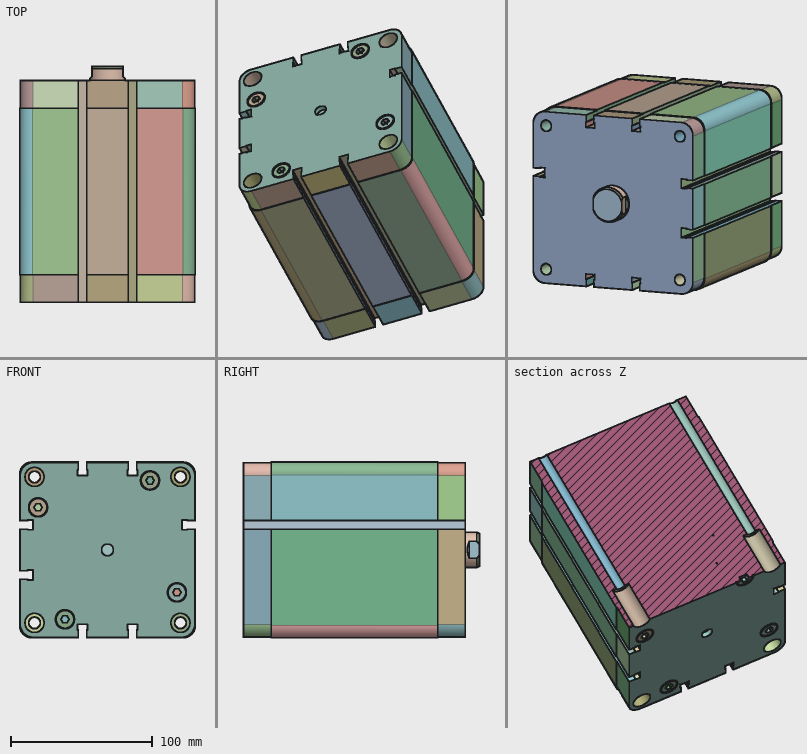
import cadquery as cq
import math

total_length = 166.5
tube_side = 124.0
cap_side = 123.0
corner_radius = 9.0
cap_length = 19.5

rod_diameter = 25.0
rod_projection = 10.0
rod_chamfer_length = 1.8
rod_chamfer_depth = 1.0
flat_width = 22.0
flat_length = 7.2

slot_offset = 17.6
slot_opening = 5.8
slot_head_width = 6.8
slot_neck_depth = 5.7
slot_depth = 9.5

corner_hole_offset = 51.5
corner_hole_diameter = 8.0
corner_bore_diameter = 13.5
corner_bore_depth = 33.3

screw_offset_far = 49.0
screw_offset_near = 30.0
screw_bore_diameter = 13.5
screw_head_diameter = 12.5
screw_gap_depth = 0.8
socket_width = 5.0
socket_depth = 3.3

center_hole_diameter = 8.3
center_hole_depth = 4.0

front_y = 0.0
body_length = total_length - rod_projection
tube_length = body_length - 2 * cap_length


def plane_at(y):
    """Workplane at Y = y facing +Y, with local x = -X and local y = Z."""
    return cq.Workplane(cq.Plane(origin=(0, y, 0), xDir=(-1, 0, 0), normal=(0, 1, 0)))


def rounded_block(side, y, length):
    block = plane_at(y).rect(side, side).extrude(length)
    return block.edges("|Y").fillet(corner_radius)


def front_points(points):
    """Workplane on the front face holding the given (X, Z) points."""
    return plane_at(front_y).pushPoints([(-x, z) for x, z in points])


def cylinders(points, diameter, depth):
    return front_points(points).circle(diameter / 2).extrude(depth)


def body():
    tube = rounded_block(tube_side, cap_length, tube_length)
    front_cap = rounded_block(cap_side, front_y, cap_length)
    rear_cap = rounded_block(cap_side, body_length - cap_length, cap_length)
    return tube.union(front_cap).union(rear_cap)


def rod():
    radius = rod_diameter / 2
    flat_depth = radius - flat_width / 2
    flat_end = total_length - flat_length
    start = body_length - cap_length
    shaft = (
        cq.Workplane("XY")
        .moveTo(0, start)
        .lineTo(radius, start)
        .lineTo(radius, total_length - rod_chamfer_length)
        .lineTo(radius - rod_chamfer_depth, total_length)
        .lineTo(0, total_length)
        .close()
        .revolve(360, (0, 0, 0), (0, 1, 0))
    )
    envelope = (
        cq.Workplane("XY")
        .moveTo(-radius, start)
        .lineTo(radius, start)
        .lineTo(radius, flat_end - flat_depth)
        .lineTo(flat_width / 2, flat_end)
        .lineTo(flat_width / 2, total_length)
        .lineTo(-flat_width / 2, total_length)
        .lineTo(-flat_width / 2, flat_end)
        .lineTo(-radius, flat_end - flat_depth)
        .close()
        .extrude(radius, both=True)
    )
    return shaft.intersect(envelope)


def slot(offset, angle):
    """Slot in the top face at X = offset, turned about Y by angle."""
    top = tube_side / 2
    neck = (
        cq.Workplane("XY")
        .box(slot_opening, body_length, slot_depth, centered=(True, False, False))
        .translate((offset, front_y, top - slot_depth))
    )
    head = (
        cq.Workplane("XY")
        .box(slot_head_width, body_length, slot_depth - slot_neck_depth, centered=(True, False, False))
        .translate((offset, front_y, top - slot_depth))
    )
    return neck.union(head).rotate((0, 0, 0), (0, 1, 0), angle)


def cut_slots(part):
    for offset in (-slot_offset, slot_offset):
        for angle in (0, 180, -90):
            part = part.cut(slot(offset, angle))
    return part.cut(slot(-slot_offset, 90))


def cut_corner_holes(part):
    signs = (-1, 1)
    corners = [(i * corner_hole_offset, j * corner_hole_offset) for i in signs for j in signs]
    part = part.cut(cylinders(corners, corner_hole_diameter, body_length))
    return part.cut(cylinders(corners, corner_bore_diameter, corner_bore_depth))


def cut_screws(part):
    far = screw_offset_far
    near = screw_offset_near
    screws = [(-far, near), (near, far), (far, -near), (-near, -far)]
    gap = cylinders(screws, screw_bore_diameter, screw_gap_depth)
    gap = gap.cut(cylinders(screws, screw_head_diameter, screw_gap_depth))
    socket_corners = socket_width / math.cos(math.pi / 6)
    sockets = front_points(screws).polygon(6, socket_corners).extrude(socket_depth)
    return part.cut(gap).cut(sockets)


def cut_center_hole(part):
    return part.cut(cylinders([(0, 0)], center_hole_diameter, center_hole_depth))


result = body().union(rod())
result = cut_slots(result)
result = cut_corner_holes(result)
result = cut_screws(result)
result = cut_center_hole(result)